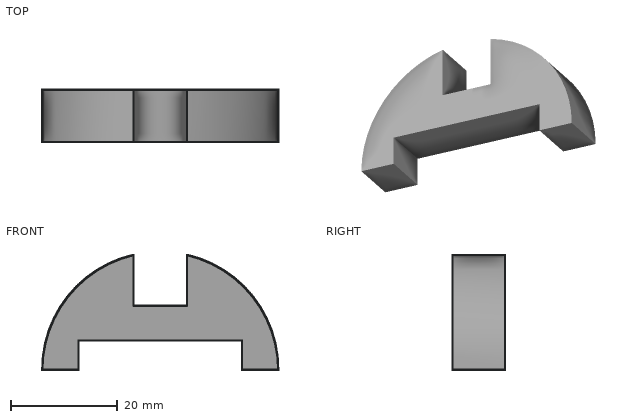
import cadquery as cq

outer_radius = 22.2
thickness = 9.9

slot_width = 10.05
slot_floor_height = 12.1

recess_width = 30.75
recess_height = 5.5


def half_disc():
    """Half disc standing on its flat side, centred on the Y axis."""
    return (
        cq.Workplane("XZ")
        .moveTo(-outer_radius, 0)
        .threePointArc((0, outer_radius), (outer_radius, 0))
        .close()
        .extrude(thickness / 2, both=True)
    )


def through_channel(width, bottom, top):
    """Rectangular cutter running through the full thickness."""
    return (
        cq.Workplane("XY")
        .box(width, thickness, top - bottom, centered=(True, True, False))
        .translate((0, 0, bottom))
    )


top_slot = through_channel(slot_width, slot_floor_height, outer_radius)
bottom_recess = through_channel(recess_width, 0, recess_height)

result = half_disc().cut(top_slot).cut(bottom_recess)